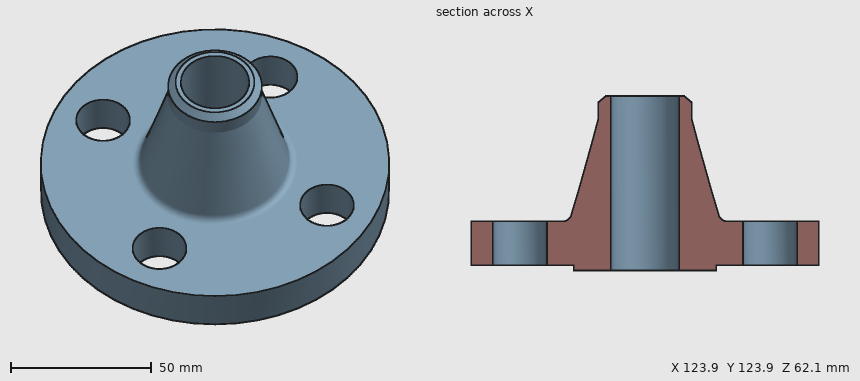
import cadquery as cq

flange_diameter = 123.9
total_height = 62.1
bore_diameter = 24.3

face_diameter = 50.8
face_height = 1.9
flange_top = 17.6

hub_base_diameter = 53.9
hub_fillet_radius = 3.0
hub_top = 54.0

neck_diameter = 33.3
bevel_height = 2.2
weld_end_diameter = 28.0

bolt_hole_count = 4
bolt_hole_diameter = 19.1
bolt_circle_diameter = 88.9


def make_plate():
    """Flange plate with the raised sealing face beneath it."""
    plate = (
        cq.Workplane("XY")
        .workplane(offset=face_height)
        .circle(flange_diameter / 2)
        .extrude(flange_top - face_height)
    )
    raised_face = cq.Workplane("XY").circle(face_diameter / 2).extrude(face_height)
    return plate.union(raised_face)


def make_hub():
    """Tapered hub, straight neck and weld bevel, revolved about Z."""
    return (
        cq.Workplane("XZ")
        .moveTo(0, flange_top)
        .lineTo(hub_base_diameter / 2, flange_top)
        .lineTo(neck_diameter / 2, hub_top)
        .lineTo(neck_diameter / 2, total_height - bevel_height)
        .lineTo(weld_end_diameter / 2, total_height)
        .lineTo(0, total_height)
        .close()
        .revolve(360, (0, 0, 0), (0, 1, 0))
    )


def fillet_hub_base(body):
    """Round the inner corner where the hub meets the flange plate."""
    reach = hub_base_diameter / 2 + hub_fillet_radius
    tolerance = 0.01
    hub_base_edge = cq.selectors.BoxSelector(
        (-reach, -reach, flange_top - tolerance),
        (reach, reach, flange_top + tolerance),
        boundingbox=True,
    )
    return body.edges(hub_base_edge).fillet(hub_fillet_radius)


def cut_bolt_holes(body):
    """Drill the bolt holes through the plate, starting on the X axis."""
    holes = (
        cq.Workplane("XY")
        .polarArray(bolt_circle_diameter / 2, 0, 360, bolt_hole_count)
        .circle(bolt_hole_diameter / 2)
        .extrude(flange_top)
    )
    return body.cut(holes)


def cut_bore(body):
    """Open the straight bore through the full height."""
    bore = cq.Workplane("XY").circle(bore_diameter / 2).extrude(total_height)
    return body.cut(bore)


flange = fillet_hub_base(make_plate().union(make_hub()))
result = cut_bore(cut_bolt_holes(flange))